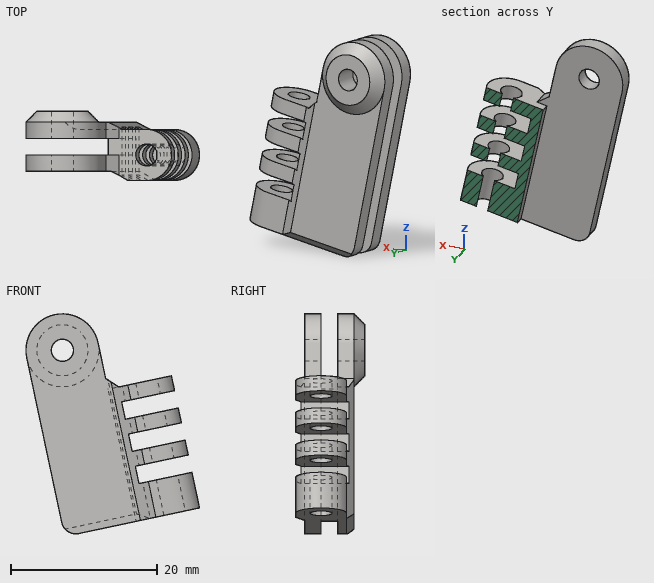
import cadquery as cq
import math

LEAN_ANGLE = 12.0

PLATE_THICKNESS = 2.25
PLATE_GAP = 2.25
LUG_RADIUS = 5.0
PIVOT_DIAMETER = 3.0
PLATE_BOTTOM = -25.0
CORNER_RADIUS = 2.0
EDGE_CHAMFER = 1.0
PLATE_FRONT = -PLATE_GAP / 2 - PLATE_THICKNESS
PLATE_BACK = -PLATE_FRONT

BOSS_HEIGHT = 1.5
BOSS_TIP_RADIUS = LUG_RADIUS - BOSS_HEIGHT

BARREL_RADIUS = 3.5
BARREL_U = 10.375
BARREL_Y = -PLATE_GAP / 2
BARREL_BORE_DIAMETER = 3.0
BARREL_FRONT = BARREL_Y - BARREL_RADIUS
BARREL_END = BARREL_U + BARREL_RADIUS
BARREL_BACK = BARREL_Y + BARREL_RADIUS

FLANK_ANGLE = 30.0
FRONT_FLANK_START = 5.6
BACK_FLANK_START = 5.25
FLANK_RUN_PER_STEP = 1 / math.tan(math.radians(FLANK_ANGLE))

SLOT_COUNT = 3
KNUCKLE_LENGTH = 2.1
SLOT_WIDTH = 2.4
SLOT_FLOOR_U = 6.475
KNUCKLE_TOP = -6.5
KNUCKLE_PITCH = KNUCKLE_LENGTH + SLOT_WIDTH

OVERCUT = 1.0


def box_between(low, high):
    """Axis-aligned box from its low corner to its high corner."""
    sizes = [b - a for a, b in zip(low, high)]
    return cq.Workplane("XY").box(*sizes, centered=False).translate(low)


def extrude_along_y(sketch, y_start, y_end):
    """Extrude an XZ sketch from y_start to y_end."""
    return sketch.extrude(y_start - y_end).translate((0, y_start, 0))


def make_section_prism():
    """Plates, flanks and barrel as one cross-section run along v."""
    front_flank_end = FRONT_FLANK_START + (PLATE_FRONT - BARREL_FRONT) * FLANK_RUN_PER_STEP
    back_flank_end = BACK_FLANK_START + (PLATE_BACK - BARREL_BACK) * FLANK_RUN_PER_STEP
    return (
        cq.Workplane("XY")
        .workplane(offset=PLATE_BOTTOM)
        .moveTo(-LUG_RADIUS, PLATE_FRONT)
        .lineTo(FRONT_FLANK_START, PLATE_FRONT)
        .lineTo(front_flank_end, BARREL_FRONT)
        .lineTo(BARREL_U, BARREL_FRONT)
        .threePointArc((BARREL_END, BARREL_Y), (BARREL_U, BARREL_BACK))
        .lineTo(back_flank_end, BARREL_BACK)
        .lineTo(BACK_FLANK_START, PLATE_BACK)
        .lineTo(-LUG_RADIUS, PLATE_BACK)
        .close()
        .extrude(LUG_RADIUS - PLATE_BOTTOM)
    )


def make_side_outline():
    """Side profile: rounded lug, 45 degree shoulder, flat barrel top and rounded foot."""
    shoulder = -LUG_RADIUS - KNUCKLE_TOP
    right_side = BARREL_END + OVERCUT
    corner_mid = CORNER_RADIUS * (1 - math.sqrt(0.5))
    profile = (
        cq.Workplane("XZ")
        .moveTo(-LUG_RADIUS, 0)
        .threePointArc((0, LUG_RADIUS), (LUG_RADIUS, 0))
        .lineTo(LUG_RADIUS, -LUG_RADIUS)
        .lineTo(LUG_RADIUS + shoulder, KNUCKLE_TOP)
        .lineTo(right_side, KNUCKLE_TOP)
        .lineTo(right_side, PLATE_BOTTOM)
        .lineTo(-LUG_RADIUS + CORNER_RADIUS, PLATE_BOTTOM)
        .threePointArc(
            (-LUG_RADIUS + corner_mid, PLATE_BOTTOM + corner_mid),
            (-LUG_RADIUS, PLATE_BOTTOM + CORNER_RADIUS),
        )
        .close()
    )
    return extrude_along_y(profile, BARREL_FRONT - OVERCUT, PLATE_BACK + OVERCUT)


def make_plate_gap():
    """Slot between the plates; over the barrel top it also clears the shoulder."""
    half_gap = PLATE_GAP / 2
    lug_side = box_between(
        (-LUG_RADIUS - OVERCUT, -half_gap, PLATE_BOTTOM - OVERCUT),
        (LUG_RADIUS, half_gap, LUG_RADIUS + OVERCUT),
    )
    over_barrel = box_between(
        (0, -half_gap, KNUCKLE_TOP),
        (BARREL_U, half_gap, LUG_RADIUS + OVERCUT),
    )
    return lug_side.union(over_barrel)


def make_knuckle_slot(index):
    """Flat-floored slot separating two knuckles, counted from the top."""
    top = KNUCKLE_TOP - KNUCKLE_LENGTH - index * KNUCKLE_PITCH
    return box_between(
        (SLOT_FLOOR_U, BARREL_FRONT - OVERCUT, top - SLOT_WIDTH),
        (BARREL_END + OVERCUT, PLATE_BACK + OVERCUT, top),
    )


def make_back_edge_chamfer():
    """Triangular bar that bevels the bottom edge of the back plate."""
    return (
        cq.Workplane("YZ")
        .moveTo(PLATE_BACK, PLATE_BOTTOM + EDGE_CHAMFER)
        .lineTo(PLATE_BACK, PLATE_BOTTOM)
        .lineTo(PLATE_BACK - EDGE_CHAMFER, PLATE_BOTTOM)
        .close()
        .extrude(LUG_RADIUS + BARREL_END)
        .translate((-LUG_RADIUS, 0, 0))
    )


def make_boss():
    cone = cq.Solid.makeCone(
        LUG_RADIUS, BOSS_TIP_RADIUS, BOSS_HEIGHT, cq.Vector(0, PLATE_BACK, 0), cq.Vector(0, 1, 0)
    )
    return cq.Workplane(cone)


def make_pivot_hole():
    circle = cq.Workplane("XZ").circle(PIVOT_DIAMETER / 2)
    return extrude_along_y(circle, PLATE_FRONT - OVERCUT, PLATE_BACK + BOSS_HEIGHT + OVERCUT)


def make_barrel_bore():
    return (
        cq.Workplane("XY")
        .workplane(offset=PLATE_BOTTOM - OVERCUT)
        .center(BARREL_U, BARREL_Y)
        .circle(BARREL_BORE_DIAMETER / 2)
        .extrude(KNUCKLE_TOP - PLATE_BOTTOM + 2 * OVERCUT)
    )


body = make_section_prism().intersect(make_side_outline())
body = body.cut(make_plate_gap())
body = body.cut(make_back_edge_chamfer())
for slot_index in range(SLOT_COUNT):
    body = body.cut(make_knuckle_slot(slot_index))
body = body.union(make_boss())
body = body.cut(make_pivot_hole())
body = body.cut(make_barrel_bore())

result = body.rotate((0, 0, 0), (0, 1, 0), -LEAN_ANGLE)